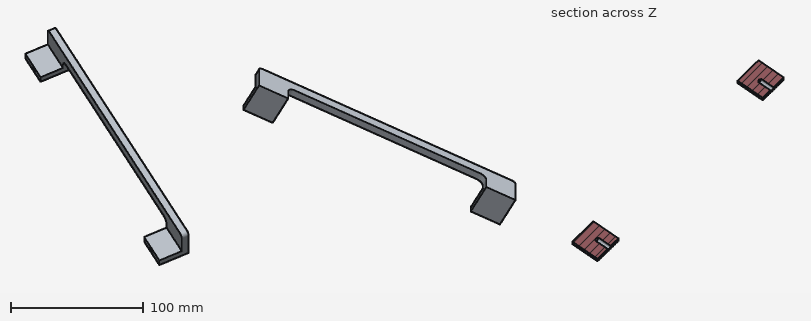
import cadquery as cq
import math

length = 220.0
height = 25.0
depth = 25.0
thickness = 6.0

foot_width = 25.0
grip_height = 10.0
outer_corner_radius = 3.0
inner_corner_radius = 5.3

hole_spacing = 192.0
hole_diameter = 3.3
hole_depth = 12.0
drill_tip_angle = 118.0

half_length = length / 2
bar_front = depth / 2 - thickness
bottom = -height / 2
opening_width = length - 2 * foot_width
opening_height = height - grip_height


def make_bar():
    """Upright plate with rounded top ends and an arched opening below the grip."""
    plate = (
        cq.Workplane("XY")
        .box(length, thickness, height)
        .edges("|Y and >Z")
        .fillet(outer_corner_radius)
    )
    opening = (
        cq.Workplane("XY")
        .box(opening_width, thickness, opening_height)
        .edges("|Y and >Z")
        .fillet(inner_corner_radius)
        .translate((0, 0, bottom + opening_height / 2))
    )
    return plate.cut(opening).translate((0, bar_front + thickness / 2, 0))


def make_drilled_hole():
    """Blind drilled hole running along +Y from the origin, with a conical bottom."""
    radius = hole_diameter / 2
    tip_length = radius / math.tan(math.radians(drill_tip_angle / 2))
    return (
        cq.Workplane("XY")
        .lineTo(radius, 0)
        .lineTo(radius, hole_depth)
        .lineTo(0, hole_depth + tip_length)
        .close()
        .revolve(360, (0, 0, 0), (0, 1, 0))
    )


def make_foot(side):
    """Flat foot reaching forward from one end of the bar, with a blind screw hole."""
    foot_x = side * (half_length - foot_width / 2)
    hole_x = side * hole_spacing / 2
    foot = (
        cq.Workplane("XY")
        .box(foot_width, depth, thickness)
        .translate((foot_x, 0, bottom + thickness / 2))
    )
    hole = make_drilled_hole().translate((hole_x, -depth / 2, bottom + thickness / 2))
    return foot.cut(hole)


result = make_bar()
for side in (-1, 1):
    result = result.union(make_foot(side))